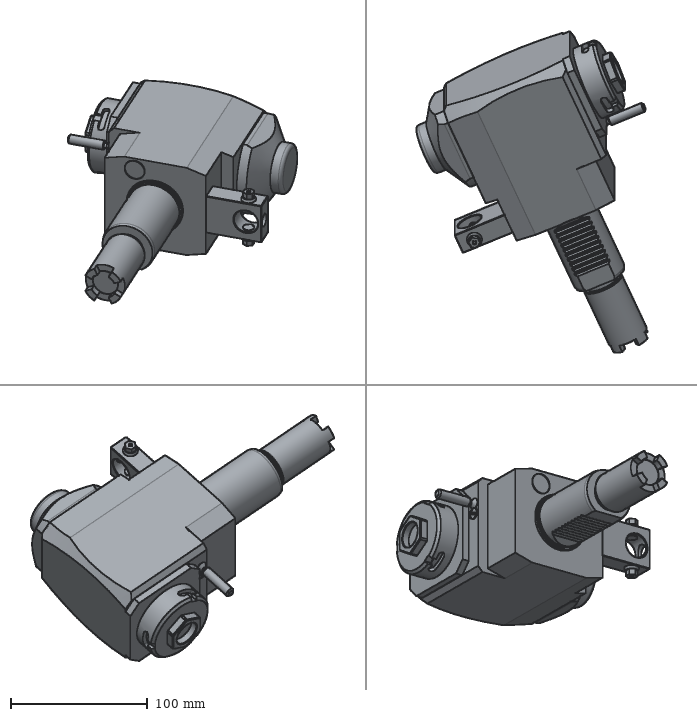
import cadquery as cq
import math


HEX_CORNER_RATIO = 1 / math.cos(math.pi / 6)

OVERALL_LENGTH = 231.5
HEIGHT = 75.0
HALF_HEIGHT = HEIGHT / 2
BACK_Y = 113.7
STEP_Y = 35.0
FOOT_HALF_WIDTH = 39.1
HEAD_LEFT_X = -47.7
HEAD_RIGHT_X = 48.5
TAPER_ANGLE = 15
TAPER_SLOPE = math.tan(math.radians(TAPER_ANGLE))
TAPER_START_X = 24.0
HEAD_EDGE_CHAMFER = 4.0
BACK_CORNER_CHAMFER = 3.0
BACK_CONE_X = -9.5
BACK_CONE_TOP_RADIUS = 132.5
BACK_CONE_TOP_Y = 109.5
PLUG_X = -16.0
PLUG_Z = 27.5
PLUG_RADIUS = 7.6
PLUG_RECESS = 0.7

SPINDLE_Y = 80.0
FLANGE_LEFT_X = -53.3
FLANGE_FRONT_Y = 46.8
FLANGE_HALF_HEIGHT = BACK_Y - SPINDLE_Y
FLANGE_CORNER_CHAMFER = 8.3
NUT_LEFT_X = -70.9
NUT_RADIUS = 55.3 / 2
NUT_CHAMFER = 2.0
WRENCH_SLOT_X = -62.5
WRENCH_SLOT_WIDTH = 5.0
WRENCH_SLOT_LENGTH = 18.3
WRENCH_SLOT_DEPTH = 3.5
WRENCH_ENTRY_WIDTH = 5.8
WRENCH_ENTRY_DEPTH = 2.8
WRENCH_SLOT_COUNT = 3
HEX_LEFT_X = -77.0
HEX_ACROSS_FLATS = 27.0
HEX_CORNER_CHAMFER = 1.0
HEX_CHAMFER = 0.7
HEX_BORE_RADIUS = 9.5
HEX_BORE_DEPTH = 5.8
HEX_BORE_CHAMFER = 0.5

TAIL_FRONT_Y = 42.4
TAIL_RADIUS = SPINDLE_Y - TAIL_FRONT_Y
TAIL_CONE_START_X = 55.8
TAIL_CONE_END_X = 67.8
TAIL_END_X = 76.6
TAIL_END_RADIUS = 19.0
TAIL_END_FILLET = 2.8
TAIL_BACK_Y = 110.2
TAIL_HALF_HEIGHT = 29.5
TAIL_TAPER_START_X = 51.5

COLLAR_RADIUS = 21.5
COLLAR_LENGTH = 2.5
COLLAR_CHAMFER = 0.5
RELIEF_END_Y = -3.5
RELIEF_RADIUS = 19.7
SHANK_RADIUS = 40.0 / 2
SHANK_END_Y = -62.8
SHANK_CHAMFER_LENGTH = 2.5
SHANK_CHAMFER_DEPTH = 0.7
NECK_RADIUS = 24.8 / 2
DRIVER_START_Y = -67.0
DRIVER_RADIUS = 30.3 / 2
DRIVER_EDGE_CHAMFER = 0.7
CLAW_ROOT_Y = -112.5
SHAFT_END_Y = BACK_Y - OVERALL_LENGTH
CLAW_INNER_RADIUS = 9.7
CLAW_BORE_RECESS = 0.5
CLAW_COUNT = 4
CLAW_GAP_ANGLE = 52

RACK_FLAT_Z = -15.7
RACK_FIRST_Y = -11.5
RACK_LAST_Y = -47.7
RACK_GROOVES = 10
RACK_PITCH = (RACK_FIRST_Y - RACK_LAST_Y) / (RACK_GROOVES - 1)
RACK_GROOVE_DEPTH = 1.5
RACK_RUNOUT_Y = -10.0

ARM_FRONT_Y = 0.58
ARM_BACK_Y = 16.0
ARM_RIGHT_X = 81.7
ARM_HALF_HEIGHT = 15.7
ARM_EDGE_CHAMFER = 0.5
ARM_BORE_X = 69.7
ARM_BORE_RADIUS = 9.3
ARM_BORE_CHAMFER = 0.5
ARM_SCREW_Y = 7.0
ARM_SIDE_HOLE_RADIUS = 4.9
SCREW_BASE_RADIUS = 5.5
SCREW_BASE_TOP_RADIUS = 4.5
SCREW_BASE_HEIGHT = 2.0
SCREW_HEX_FLATS = 7.5
SCREW_TOP_Z = 22.2
SCREW_TIP_RADIUS = 4.2
SCREW_TIP_Z = 8.3
SCREW_SOCKET_RADIUS = 1.5
SCREW_SOCKET_DEPTH = 1.9

FITTING_Y = 40.3
PIPE_Z = 17.8
PIPE_LEFT_X = -80.5
PIPE_RIGHT_X = -52.8
PIPE_RADIUS = 3.5
PIPE_END_CHAMFER = 1.2
PIPE_SHOULDER_CHAMFER = 0.5
PIPE_NECK_RADIUS = 1.9
PIPE_NECK_LEFT_X = -50.7
FITTING_RADIUS = 4.2
FITTING_PROUD = 0.7
FITTING_LEFT_X = HEAD_LEFT_X - FITTING_PROUD
FITTING_Z = 10.0
FITTING_HOLE_RADIUS = 1.0


def cylinder_x(x_from, x_to, radius, y, z=0):
    """Cylinder along X between two X positions."""
    return cq.Workplane("YZ", origin=(x_from, y, z)).circle(radius).extrude(x_to - x_from)


def cylinder_y(y_from, y_to, radius, x=0, z=0):
    """Cylinder along Y; y_from is the larger Y."""
    return cq.Workplane("XZ", origin=(x, y_from, z)).circle(radius).extrude(y_from - y_to)


def cylinder_z(z_from, z_to, radius, x, y):
    """Cylinder along Z between two Z positions."""
    return cq.Workplane("XY", origin=(x, y, z_from)).circle(radius).extrude(z_to - z_from)


def mirrored_prism(upper_points, y_from, y_to):
    """Prism along Y whose XZ outline is the given upper half mirrored about Z = 0."""
    lower_points = [(x, -z) for x, z in reversed(upper_points)]
    outline = cq.Workplane("XZ", origin=(0, y_to, 0)).polyline(upper_points + lower_points)
    return outline.close().extrude(y_to - y_from)


def make_body():
    foot_edge_z = HALF_HEIGHT - (FOOT_HALF_WIDTH - TAPER_START_X) * TAPER_SLOPE
    foot = mirrored_prism(
        [
            (-FOOT_HALF_WIDTH, foot_edge_z),
            (-TAPER_START_X, HALF_HEIGHT),
            (TAPER_START_X, HALF_HEIGHT),
            (FOOT_HALF_WIDTH, foot_edge_z),
        ],
        0,
        STEP_Y,
    )
    head = mirrored_prism(
        [
            (HEAD_LEFT_X, HALF_HEIGHT - HEAD_EDGE_CHAMFER),
            (HEAD_LEFT_X + HEAD_EDGE_CHAMFER, HALF_HEIGHT),
            (TAPER_START_X, HALF_HEIGHT),
            (HEAD_RIGHT_X, HALF_HEIGHT - (HEAD_RIGHT_X - TAPER_START_X) * TAPER_SLOPE),
        ],
        STEP_Y,
        BACK_Y,
    )
    head = head.edges("|Z and >X and >Y").chamfer(BACK_CORNER_CHAMFER)

    middle_radius = BACK_CONE_TOP_RADIUS + HALF_HEIGHT
    double_cone = (
        cq.Workplane("XZ")
        .polyline(
            [
                (0, -HALF_HEIGHT),
                (BACK_CONE_TOP_RADIUS, -HALF_HEIGHT),
                (middle_radius, 0),
                (BACK_CONE_TOP_RADIUS, HALF_HEIGHT),
                (0, HALF_HEIGHT),
            ]
        )
        .close()
        .revolve(360, (0, 0, 0), (0, 1, 0))
        .translate((BACK_CONE_X, BACK_CONE_TOP_Y - BACK_CONE_TOP_RADIUS, 0))
    )
    plug_recess = cylinder_y(PLUG_RECESS, 0, PLUG_RADIUS, PLUG_X, PLUG_Z)
    return foot.union(head.intersect(double_cone)).cut(plug_recess)


def make_flange():
    width = BACK_Y - FLANGE_FRONT_Y
    flange = (
        cq.Workplane("YZ", origin=(FLANGE_LEFT_X, FLANGE_FRONT_Y + width / 2, 0))
        .rect(width, 2 * FLANGE_HALF_HEIGHT)
        .extrude(HEAD_LEFT_X - FLANGE_LEFT_X)
    )
    return flange.edges("|X").chamfer(FLANGE_CORNER_CHAMFER)


def make_collet_nut():
    nut = cylinder_x(NUT_LEFT_X, FLANGE_LEFT_X, NUT_RADIUS, SPINDLE_Y)
    nut = nut.faces("<X").chamfer(NUT_CHAMFER)
    slot = (
        cq.Workplane("XY", origin=(WRENCH_SLOT_X, SPINDLE_Y, 0))
        .slot2D(WRENCH_SLOT_LENGTH, WRENCH_SLOT_WIDTH, 90)
        .extrude(2 * NUT_RADIUS)
        .cut(cylinder_x(NUT_LEFT_X, FLANGE_LEFT_X, NUT_RADIUS - WRENCH_SLOT_DEPTH, SPINDLE_Y))
    )
    entry_length = WRENCH_SLOT_X - NUT_LEFT_X
    entry = (
        cq.Workplane("XY", origin=(NUT_LEFT_X + entry_length / 2, SPINDLE_Y, NUT_RADIUS - WRENCH_ENTRY_DEPTH))
        .rect(entry_length, WRENCH_ENTRY_WIDTH)
        .extrude(2 * WRENCH_ENTRY_DEPTH)
    )
    wrench_slot = slot.union(entry)
    for i in range(WRENCH_SLOT_COUNT):
        angle = -90 + i * 360 / WRENCH_SLOT_COUNT
        nut = nut.cut(wrench_slot.rotate((0, SPINDLE_Y, 0), (1, SPINDLE_Y, 0), angle))
    return nut


def make_spindle_hexagon():
    hexagon = (
        cq.Workplane("YZ", origin=(HEX_LEFT_X, SPINDLE_Y, 0))
        .transformed(rotate=(0, 0, 90))
        .polygon(6, HEX_ACROSS_FLATS * HEX_CORNER_RATIO)
        .extrude(NUT_LEFT_X - HEX_LEFT_X)
    )
    hexagon = hexagon.edges("|X").chamfer(HEX_CORNER_CHAMFER)
    hexagon = hexagon.faces("<X").chamfer(HEX_CHAMFER)
    bore_floor_x = HEX_LEFT_X + HEX_BORE_DEPTH
    hexagon = hexagon.cut(cylinder_x(HEX_LEFT_X, bore_floor_x, HEX_BORE_RADIUS, SPINDLE_Y))
    return hexagon.faces("<X").edges("%CIRCLE").chamfer(HEX_BORE_CHAMFER)


def make_tail_boss():
    turned = (
        cq.Workplane("XY")
        .polyline(
            [
                (HEAD_RIGHT_X, SPINDLE_Y),
                (HEAD_RIGHT_X, SPINDLE_Y + TAIL_RADIUS),
                (TAIL_CONE_START_X, SPINDLE_Y + TAIL_RADIUS),
                (TAIL_CONE_END_X, SPINDLE_Y + TAIL_END_RADIUS),
                (TAIL_END_X, SPINDLE_Y + TAIL_END_RADIUS),
                (TAIL_END_X, SPINDLE_Y),
            ]
        )
        .close()
        .revolve(360, (0, SPINDLE_Y, 0), (1, SPINDLE_Y, 0))
    )
    turned = turned.faces(">X").edges().fillet(TAIL_END_FILLET)
    envelope = mirrored_prism(
        [
            (HEAD_RIGHT_X, TAIL_HALF_HEIGHT),
            (TAIL_TAPER_START_X, TAIL_HALF_HEIGHT),
            (TAIL_END_X, TAIL_HALF_HEIGHT - (TAIL_END_X - TAIL_TAPER_START_X) * TAPER_SLOPE),
        ],
        0,
        TAIL_BACK_Y,
    )
    return turned.intersect(envelope)


def make_rack_cutter():
    """Flat along the shank underside, with a 45 degree run-out and 45 degree grooves."""
    below = -2 * SHANK_RADIUS
    drop = RACK_FLAT_Z - below
    cutter = (
        cq.Workplane("YZ", origin=(-SHANK_RADIUS, 0, 0))
        .polyline(
            [
                (RACK_RUNOUT_Y, RACK_FLAT_Z),
                (RACK_RUNOUT_Y + drop, below),
                (SHANK_END_Y, below),
                (SHANK_END_Y, RACK_FLAT_Z),
            ]
        )
        .close()
        .extrude(2 * SHANK_RADIUS)
    )
    mouth = RACK_PITCH / 2
    root = mouth - RACK_GROOVE_DEPTH
    for i in range(RACK_GROOVES):
        groove = (
            cq.Workplane("YZ", origin=(-SHANK_RADIUS, RACK_FIRST_Y - i * RACK_PITCH, RACK_FLAT_Z))
            .polyline([(-mouth, 0), (-root, RACK_GROOVE_DEPTH), (root, RACK_GROOVE_DEPTH), (mouth, 0)])
            .close()
            .extrude(2 * SHANK_RADIUS)
        )
        cutter = cutter.union(groove)
    return cutter


def make_claw_gap():
    """Wedge-shaped gap between two claws, pointing to +X."""
    reach = 2 * DRIVER_RADIUS
    half_width = reach * math.tan(math.radians(CLAW_GAP_ANGLE / 2))
    return (
        cq.Workplane("XZ", origin=(0, CLAW_ROOT_Y, 0))
        .polyline([(0, 0), (reach, half_width), (reach, -half_width)])
        .close()
        .extrude(CLAW_ROOT_Y - SHAFT_END_Y)
    )


def make_shaft():
    collar = cylinder_y(0, -COLLAR_LENGTH, COLLAR_RADIUS).faces("<Y").chamfer(COLLAR_CHAMFER)
    relief = cylinder_y(-COLLAR_LENGTH, RELIEF_END_Y, RELIEF_RADIUS)
    shank = cylinder_y(RELIEF_END_Y, SHANK_END_Y, SHANK_RADIUS)
    shank = shank.faces("<Y").edges().chamfer(SHANK_CHAMFER_LENGTH, SHANK_CHAMFER_DEPTH)
    shank = shank.cut(make_rack_cutter())
    neck = cylinder_y(SHANK_END_Y, DRIVER_START_Y, NECK_RADIUS)
    driver = cylinder_y(DRIVER_START_Y, SHAFT_END_Y, DRIVER_RADIUS)
    driver = driver.faces(">Y").edges().chamfer(DRIVER_EDGE_CHAMFER)
    driver = driver.cut(cylinder_y(CLAW_ROOT_Y + CLAW_BORE_RECESS, SHAFT_END_Y, CLAW_INNER_RADIUS))
    claw_gap = make_claw_gap()
    for i in range(CLAW_COUNT):
        driver = driver.cut(claw_gap.rotate((0, 0, 0), (0, 1, 0), i * 360 / CLAW_COUNT))
    return collar.union(relief).union(shank).union(neck).union(driver)


def make_arm_screw():
    """Upper clamping screw of the torque arm."""
    base = (
        cq.Workplane("XY", origin=(ARM_BORE_X, ARM_SCREW_Y, ARM_HALF_HEIGHT))
        .circle(SCREW_BASE_RADIUS)
        .workplane(offset=SCREW_BASE_HEIGHT)
        .circle(SCREW_BASE_TOP_RADIUS)
        .loft(ruled=True)
    )
    head = (
        cq.Workplane("XY", origin=(ARM_BORE_X, ARM_SCREW_Y, ARM_HALF_HEIGHT))
        .transformed(rotate=(0, 0, 90))
        .polygon(6, SCREW_HEX_FLATS * HEX_CORNER_RATIO)
        .extrude(SCREW_TOP_Z - ARM_HALF_HEIGHT)
    )
    socket = cylinder_z(
        SCREW_TOP_Z - SCREW_SOCKET_DEPTH, SCREW_TOP_Z, SCREW_SOCKET_RADIUS, ARM_BORE_X, ARM_SCREW_Y
    )
    tip = cylinder_z(SCREW_TIP_Z, ARM_HALF_HEIGHT, SCREW_TIP_RADIUS, ARM_BORE_X, ARM_SCREW_Y)
    return base.union(head).cut(socket).union(tip)


def make_torque_arm():
    length = ARM_RIGHT_X - FOOT_HALF_WIDTH
    arm = cq.Workplane("XY").box(length, ARM_BACK_Y - ARM_FRONT_Y, 2 * ARM_HALF_HEIGHT, centered=False)
    arm = arm.translate((FOOT_HALF_WIDTH, ARM_FRONT_Y, -ARM_HALF_HEIGHT))
    arm = arm.edges("|X or >X").chamfer(ARM_EDGE_CHAMFER)
    arm = arm.cut(cylinder_y(ARM_BACK_Y, ARM_FRONT_Y, ARM_BORE_RADIUS, ARM_BORE_X))
    arm = arm.faces("<Y or >Y").edges("%CIRCLE").chamfer(ARM_BORE_CHAMFER)
    arm = arm.cut(cylinder_x(ARM_BORE_X, ARM_RIGHT_X, ARM_SIDE_HOLE_RADIUS, ARM_SCREW_Y))
    screw = make_arm_screw()
    return arm.union(screw).union(screw.mirror("XY"))


def make_coolant_fittings():
    pipe = cylinder_x(PIPE_LEFT_X, PIPE_RIGHT_X, PIPE_RADIUS, FITTING_Y, PIPE_Z)
    pipe = pipe.faces("<X").chamfer(PIPE_END_CHAMFER)
    pipe = pipe.faces(">X").chamfer(PIPE_SHOULDER_CHAMFER)
    neck = cylinder_x(PIPE_RIGHT_X, HEAD_LEFT_X, PIPE_NECK_RADIUS, FITTING_Y, PIPE_Z)
    foot = (
        cq.Workplane("YZ", origin=(PIPE_NECK_LEFT_X, FITTING_Y, PIPE_Z))
        .circle(PIPE_NECK_RADIUS)
        .workplane(offset=HEAD_LEFT_X - PIPE_NECK_LEFT_X)
        .circle(FITTING_RADIUS)
        .loft(ruled=True)
    )
    blind = cylinder_x(FITTING_LEFT_X, HEAD_LEFT_X, FITTING_RADIUS, FITTING_Y, FITTING_Z)
    blind = blind.cut(cylinder_x(FITTING_LEFT_X, HEAD_LEFT_X, FITTING_HOLE_RADIUS, FITTING_Y, FITTING_Z))
    return pipe.union(neck).union(foot).union(blind)


result = (
    make_body()
    .union(make_flange())
    .union(make_collet_nut())
    .union(make_spindle_hexagon())
    .union(make_tail_boss())
    .union(make_shaft())
    .union(make_torque_arm())
    .union(make_coolant_fittings())
)